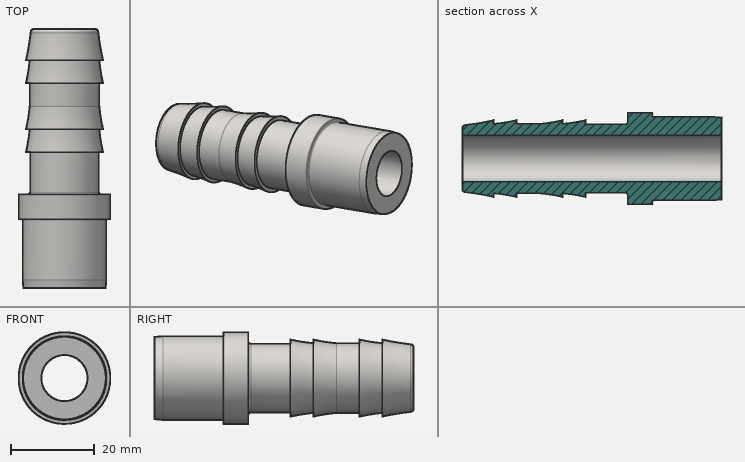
import cadquery as cq


total_length = 62.0
spigot_length = 16.5
spigot_lead_length = 2.0
collar_length = 6.0
barb_length = 5.45
tip_barb_length = 7.5
plain_gap_length = 5.6

bore_radius = 11.0 / 2
spigot_radius = 20.1 / 2
spigot_lead_drop = 0.2
collar_radius = 22.0 / 2
neck_radius = 16.5 / 2
stem_radius = 16.75 / 2
barb_radius = 18.5 / 2
tip_radius = 16.25 / 2

collar_round = 0.1
spigot_fillet = 0.1
neck_fillet = 0.5
tip_round_length = 0.85
tip_round_depth = 0.6
barb_hollow = 0.09

collar_start = spigot_length
collar_end = collar_start + collar_length
tip_barb_base = total_length - tip_barb_length
fourth_barb_base = tip_barb_base - barb_length
second_barb_base = fourth_barb_base - plain_gap_length - barb_length
first_barb_base = second_barb_base - barb_length


def add_barb(profile, base, front, front_radius):
    """Step out to the barb edge, then follow its hollow flank down to the front radius."""
    middle = ((barb_radius + front_radius) / 2 - barb_hollow, (base + front) / 2)
    return profile.lineTo(barb_radius, base).threePointArc(middle, (front_radius, front))


profile = (
    cq.Workplane("XY")
    .moveTo(bore_radius, 0)
    .lineTo(spigot_radius - spigot_lead_drop, 0)
    .lineTo(spigot_radius, spigot_lead_length)
    .lineTo(spigot_radius, collar_start - spigot_fillet)
    .radiusArc((spigot_radius + spigot_fillet, collar_start), spigot_fillet)
)

profile = (
    profile.lineTo(collar_radius - collar_round, collar_start)
    .radiusArc((collar_radius, collar_start + collar_round), -collar_round)
    .lineTo(collar_radius, collar_end - collar_round)
    .radiusArc((collar_radius - collar_round, collar_end), -collar_round)
)

profile = (
    profile.lineTo(neck_radius + neck_fillet, collar_end)
    .radiusArc((neck_radius, collar_end + neck_fillet), neck_fillet)
    .lineTo(neck_radius, first_barb_base)
)

profile = add_barb(profile, first_barb_base, second_barb_base, stem_radius)
profile = add_barb(profile, second_barb_base, second_barb_base + barb_length, stem_radius)
profile = profile.lineTo(stem_radius, fourth_barb_base)
profile = add_barb(profile, fourth_barb_base, tip_barb_base, stem_radius)
profile = add_barb(profile, tip_barb_base, total_length - tip_round_length, tip_radius)

profile = (
    profile.radiusArc((tip_radius - tip_round_depth, total_length), -tip_round_length)
    .lineTo(bore_radius, total_length)
    .close()
)

result = profile.revolve(360, (0, 0, 0), (0, 1, 0))